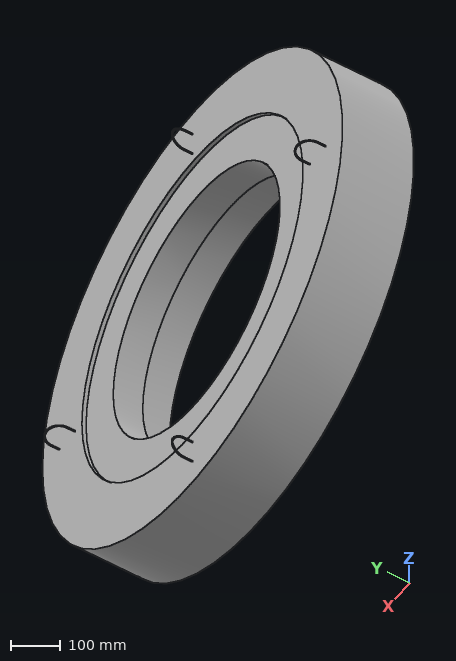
import cadquery as cq

outer_diameter = 1100.0
ring_thickness = 170.0
bore_diameter = 610.0
seat_diameter = 690.0
seat_depth = 90.0
recess_diameter = 810.0
recess_depth = 10.0

overall_depth = 220.0
wire_diameter = 2.5
loop_width = 60.0
loop_circle_radius = 459.0
loop_count = 4
loop_embedment = 11.0


def cylinder(diameter, length, start=0):
    """Solid cylinder along +Y, starting at y = start."""
    return cq.Workplane("XZ", origin=(0, start, 0)).circle(diameter / 2).extrude(-length)


def lifting_loop():
    """U-shaped wire in the XY plane, centred on the loop circle."""
    bend_radius = (loop_width - wire_diameter) / 2
    inner_leg = loop_circle_radius - bend_radius
    outer_leg = loop_circle_radius + bend_radius
    foot = ring_thickness - loop_embedment
    crown = overall_depth - wire_diameter / 2
    bend_start = crown - bend_radius
    path = (
        cq.Workplane("XY")
        .moveTo(inner_leg, foot)
        .lineTo(inner_leg, bend_start)
        .threePointArc((loop_circle_radius, crown), (outer_leg, bend_start))
        .lineTo(outer_leg, foot)
    )
    section = cq.Workplane("XZ", origin=(inner_leg, foot, 0)).circle(wire_diameter / 2)
    return section.sweep(path)


ring = cylinder(outer_diameter, ring_thickness)
ring = ring.cut(cylinder(bore_diameter, ring_thickness))
ring = ring.cut(cylinder(seat_diameter, seat_depth))
ring = ring.cut(cylinder(recess_diameter, recess_depth, ring_thickness - recess_depth))

result = ring
loop = lifting_loop()
for index in range(loop_count):
    angle = index * 360 / loop_count
    result = result.union(loop.rotate((0, 0, 0), (0, 1, 0), angle))